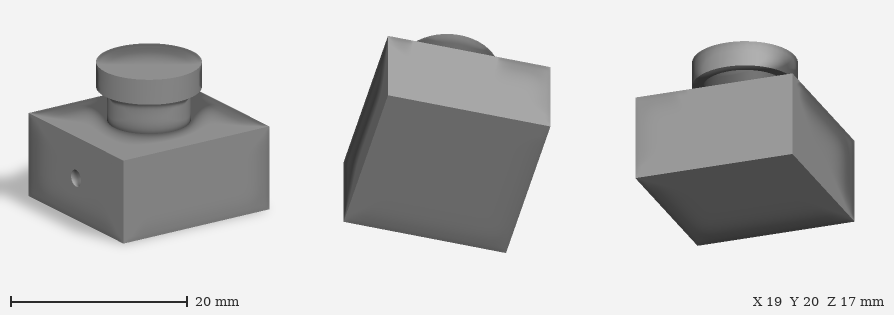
import cadquery as cq

base_width = 19.0
base_depth = 20.0
base_height = 10.0

neck_diameter = 9.5
neck_height = 4.0
cap_diameter = 12.0
cap_height = 3.0

hole_diameter = 2.0
hole_depth = base_depth / 2


def make_base():
    """Block centred on the Z axis, standing on Z = 0."""
    return cq.Workplane("XY").box(base_width, base_depth, base_height, centered=(True, True, False))


def make_knob():
    """Neck and cap stacked on top of the base."""
    neck = cq.Workplane("XY").workplane(offset=base_height).circle(neck_diameter / 2).extrude(neck_height)
    return neck.faces(">Z").workplane().circle(cap_diameter / 2).extrude(cap_height)


def make_side_hole():
    """Horizontal cylinder running from the middle of the -Y face towards +Y."""
    return cq.Workplane(
        cq.Solid.makeCylinder(
            hole_diameter / 2,
            hole_depth,
            pnt=cq.Vector(0, -base_depth / 2, base_height / 2),
            dir=cq.Vector(0, 1, 0),
        )
    )


result = make_base().union(make_knob()).cut(make_side_hole())